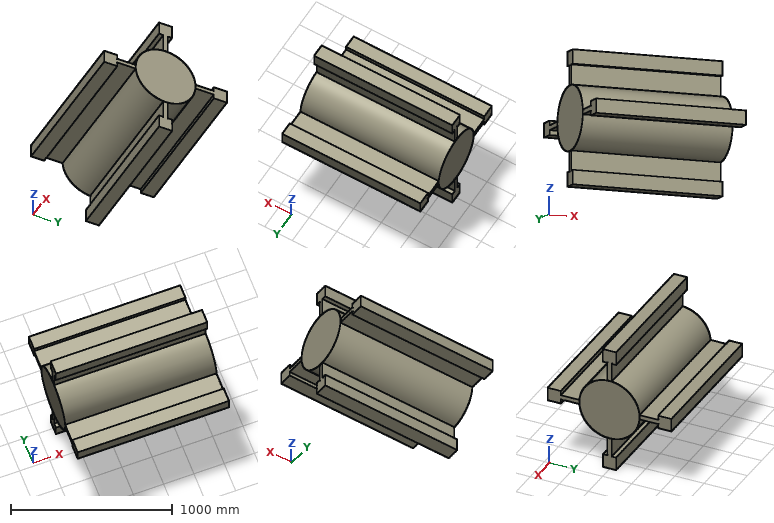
import cadquery as cq
import math

body_length = 1000.0
tube_outer_diameter = 416.0
tube_inner_diameter = 412.0
cap_thickness = 1.0
rail_side = 91.0
web_thickness = 31.0
web_height = 127.0
arm_count = 4

half_length = body_length / 2
tube_outer_radius = tube_outer_diameter / 2
tube_inner_radius = tube_inner_diameter / 2
web_foot = math.sqrt(tube_outer_radius**2 - (web_thickness / 2) ** 2)
rail_inner_face = web_foot + web_height


def make_bar(width, height, bottom):
    """Rectangular bar along X, centred above the axis, with its underside at the given height."""
    bar = cq.Workplane("XY", origin=(0, 0, bottom))
    return bar.box(body_length, width, height, centered=(True, True, False))


def make_arm(angle):
    """Web carrying a square rail, running the length of the tube, turned about X."""
    web = make_bar(web_thickness, web_height, web_foot)
    rail = make_bar(rail_side, rail_side, rail_inner_face)
    return web.union(rail).rotate((0, 0, 0), (1, 0, 0), angle)


def make_finned_tube():
    """Thin-walled tube, open at both ends, with arms spaced evenly around it."""
    tube = cq.Workplane("YZ", origin=(-half_length, 0, 0))
    tube = tube.circle(tube_outer_radius).circle(tube_inner_radius).extrude(body_length)
    for index in range(arm_count):
        tube = tube.union(make_arm(index * 360 / arm_count))
    return tube


def make_end_cap(start_x):
    """Flat disc, as wide as the tube, that covers one open end."""
    return cq.Workplane("YZ", origin=(start_x, 0, 0)).circle(tube_outer_radius).extrude(cap_thickness)


finned_tube = make_finned_tube()
cap_starts = (-half_length - cap_thickness, half_length)
end_caps = [make_end_cap(start_x) for start_x in cap_starts]

result = cq.Compound.makeCompound([finned_tube.val(), *[cap.val() for cap in end_caps]])